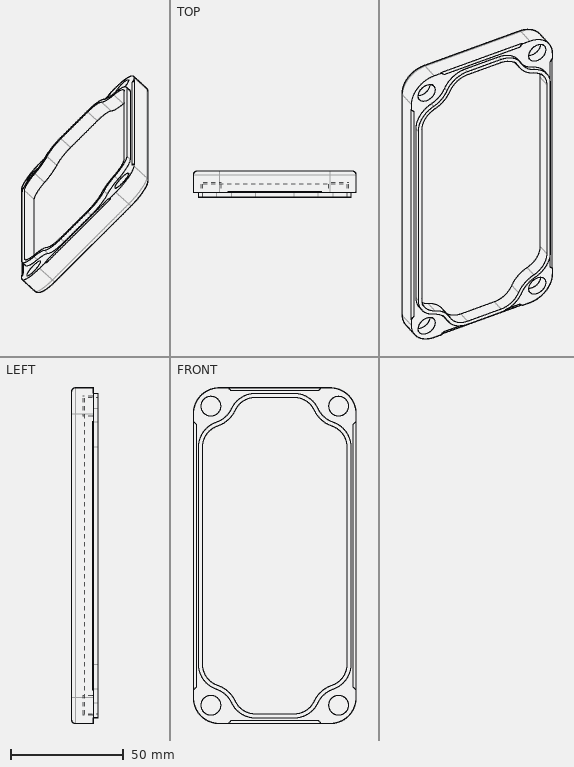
import cadquery as cq
import math

length = 149.2
width = 72.3
plate_thickness = 9.7
lip_height = 2.1
corner_radius = 11.6
back_fillet = 1.8

lip_half_width = 33.9
lip_half_length = 72.0
lip_wall = 1.8
scallop_radius = 11.6
scallop_x = 29.7
scallop_z = 70.3
pocket_depth = 6.0

hole_diameter = 8.8
hole_x = 28.3
hole_z = 66.4
hole_depth = 4.6

relief_inset = 1.3
relief_depth = 0.5
end_relief_length = 41.5
side_relief_length = 119.3

front_plane = cq.Workplane("XZ")


def lip_outline(inset):
    """Closed outline of the lip, moved inward by inset."""
    bend_radius = scallop_radius - inset
    hollow_radius = scallop_radius + inset
    half_width = lip_half_width - inset
    half_length = lip_half_length - inset
    centre_distance = 2 * scallop_radius

    side_x = lip_half_width - scallop_radius
    side_z = scallop_z - math.sqrt(centre_distance**2 - (scallop_x - side_x) ** 2)
    end_z = lip_half_length - scallop_radius
    end_x = scallop_x - math.sqrt(centre_distance**2 - (scallop_z - end_z) ** 2)

    side_angle = math.atan2(scallop_z - side_z, scallop_x - side_x)
    end_angle = math.atan2(scallop_z - end_z, scallop_x - end_x)

    def on_arc(x, z, radius, angle):
        return (x + radius * math.cos(angle), z + radius * math.sin(angle))

    corner = [
        (half_width, side_z),
        on_arc(side_x, side_z, bend_radius, side_angle / 2),
        on_arc(side_x, side_z, bend_radius, side_angle),
        on_arc(scallop_x, scallop_z, hollow_radius, math.pi + (side_angle + end_angle) / 2),
        on_arc(end_x, end_z, bend_radius, end_angle),
        on_arc(end_x, end_z, bend_radius, (end_angle + math.pi / 2) / 2),
        (end_x, half_length),
    ]

    outline = front_plane.moveTo(half_width, -side_z)
    for sign_x, sign_z in [(1, 1), (-1, 1), (-1, -1), (1, -1)]:
        points = [(sign_x * x, sign_z * z) for x, z in corner]
        if sign_x != sign_z:
            points.reverse()
        outline = outline.lineTo(*points[0])
        for i in range(1, len(points), 2):
            outline = outline.threePointArc(points[i], points[i + 1])
    return outline.close()


def edge_relief(edge_distance, relief_length):
    """Wedge removed from the front +Z edge, with ends mitred at 45 degrees."""
    wedge = (
        cq.Workplane("YZ")
        .polyline([(0, edge_distance - relief_inset), (0, edge_distance), (relief_depth, edge_distance)])
        .close()
        .extrude(relief_length / 2, both=True)
    )
    half_outer = relief_length / 2
    half_inner = half_outer - relief_inset
    mitre = (
        front_plane
        .polyline([
            (-half_outer, edge_distance),
            (half_outer, edge_distance),
            (half_inner, edge_distance - relief_inset),
            (-half_inner, edge_distance - relief_inset),
        ])
        .close()
        .extrude(-relief_depth)
    )
    return wedge.intersect(mitre)


plate = front_plane.rect(width, length).extrude(-plate_thickness)
plate = plate.edges("|Y").fillet(corner_radius)
plate = plate.faces(">Y").edges().fillet(back_fillet)

lip = lip_outline(0).extrude(lip_height)
pocket_floor_y = pocket_depth - lip_height
pocket = lip_outline(lip_wall).extrude(pocket_floor_y, both=True)
result = plate.union(lip).cut(pocket)

holes = (
    front_plane
    .rect(2 * hole_x, 2 * hole_z, forConstruction=True)
    .vertices()
    .circle(hole_diameter / 2)
    .extrude(-hole_depth)
)
result = result.cut(holes)

for turn, edge_distance, relief_length in [
    (0, length / 2, end_relief_length),
    (90, width / 2, side_relief_length),
    (180, length / 2, end_relief_length),
    (270, width / 2, side_relief_length),
]:
    relief = edge_relief(edge_distance, relief_length)
    result = result.cut(relief.rotate((0, 0, 0), (0, 1, 0), turn))